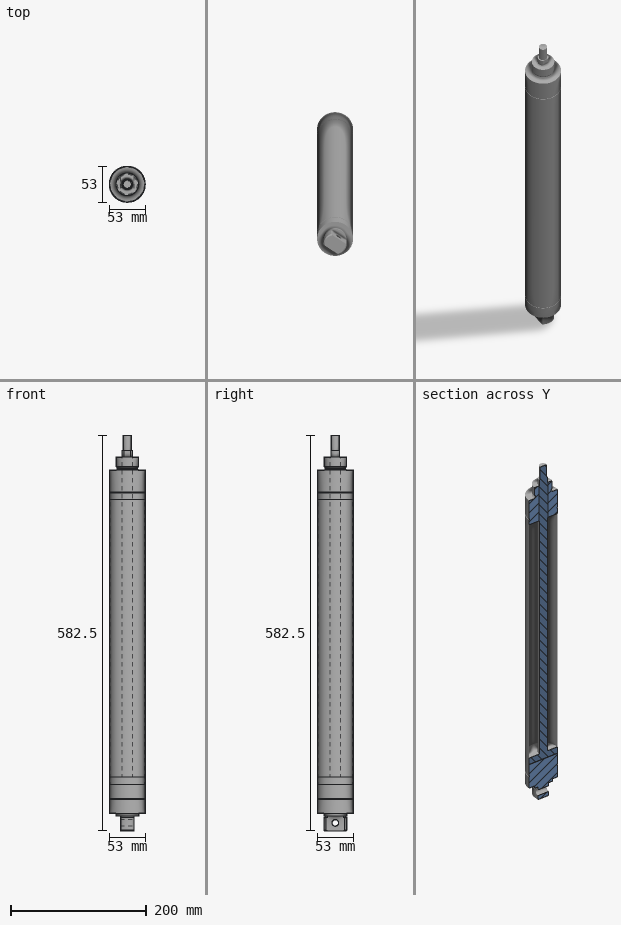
import cadquery as cq

total_height = 582.5
body_bottom = 26.0
body_top = 531.5
nose_top = 550.5

body_diameter = 53.0
crimp_diameter = 52.0
crimp_width = 2.0
crimp_heights = (46.5, 497.5)

bore_diameter = 50.5
chamber_bottom = 69.0
chamber_top = 488.0

nose_diameter = 33.0
nose_neck_diameter = 30.0
nose_groove_height = 5.0

boss_diameter = 34.0
boss_bottom = 22.0
tang_thickness = 20.0
tang_relief_diameter = 31.0
tang_relief_height = 2.5
tang_chamfer = 2.0
tang_hole_diameter = 9.5
tang_hole_height = 12.0

rod_diameter = 16.0
rod_tip_diameter = 12.0
rod_shoulder = 560.5
rod_flat_width = 13.0
piston_thickness = 11.0


def cylinder(diameter, bottom, top):
    """Upright cylinder on the Z axis."""
    return cq.Workplane("XY").workplane(offset=bottom).circle(diameter / 2).extrude(top - bottom)


def make_barrel():
    """Outer barrel with a shallow crimp groove near each end."""
    barrel = cylinder(body_diameter, body_bottom, body_top)
    for height in crimp_heights:
        crimp_top = height + crimp_width
        ring = cylinder(body_diameter, height, crimp_top).cut(cylinder(crimp_diameter, height, crimp_top))
        barrel = barrel.cut(ring)
    return barrel


def make_nose():
    """Round nose with a groove at its foot whose walls slope at 45 degrees."""
    radius = nose_diameter / 2
    neck_radius = nose_neck_diameter / 2
    slope = radius - neck_radius
    groove_top = body_top + nose_groove_height
    return (
        cq.Workplane("XZ")
        .moveTo(0, body_top)
        .lineTo(radius, body_top)
        .lineTo(neck_radius, body_top + slope)
        .lineTo(neck_radius, groove_top - slope)
        .lineTo(radius, groove_top)
        .lineTo(radius, nose_top)
        .lineTo(0, nose_top)
        .close()
        .revolve(360, (0, 0, 0), (0, 1, 0))
    )


def make_tang():
    """Round boss and a cross-drilled tang with two flats facing X."""
    boss = cylinder(boss_diameter, boss_bottom, body_bottom)
    relief_bottom = boss_bottom - tang_relief_height
    relief = cylinder(tang_relief_diameter, relief_bottom, boss_bottom)
    blank = cylinder(boss_diameter, 0, relief_bottom).faces("<Z").chamfer(tang_chamfer)
    slab = cq.Workplane("XY").rect(tang_thickness, boss_diameter).extrude(boss_bottom)
    hole = (
        cq.Workplane("YZ")
        .center(0, tang_hole_height)
        .circle(tang_hole_diameter / 2)
        .extrude(tang_thickness / 2, both=True)
    )
    return blank.union(relief).intersect(slab).cut(hole).union(boss)


def make_housing():
    """Barrel, nose and tang in one piece, bored for the piston and rod."""
    chamber = cylinder(bore_diameter, chamber_bottom, chamber_top)
    rod_bore = cylinder(rod_diameter, chamber_bottom, nose_top)
    return make_barrel().union(make_nose()).union(make_tang()).cut(chamber).cut(rod_bore)


def make_piston_rod():
    """Retracted piston and rod, with wrench flats facing Y below the slim tip."""
    piston = cylinder(bore_diameter, chamber_bottom, chamber_bottom + piston_thickness)
    shaft = cylinder(rod_diameter, chamber_bottom, nose_top)
    flats = (
        cq.Workplane("XY")
        .workplane(offset=nose_top)
        .rect(rod_diameter, rod_flat_width)
        .extrude(rod_shoulder - nose_top)
    )
    wrench_section = cylinder(rod_diameter, nose_top, rod_shoulder).intersect(flats)
    tip = cylinder(rod_tip_diameter, rod_shoulder, total_height)
    return piston.union(shaft).union(wrench_section).union(tip)


housing = make_housing()
piston_rod = make_piston_rod()
result = cq.Compound.makeCompound([housing.val(), piston_rod.val()])